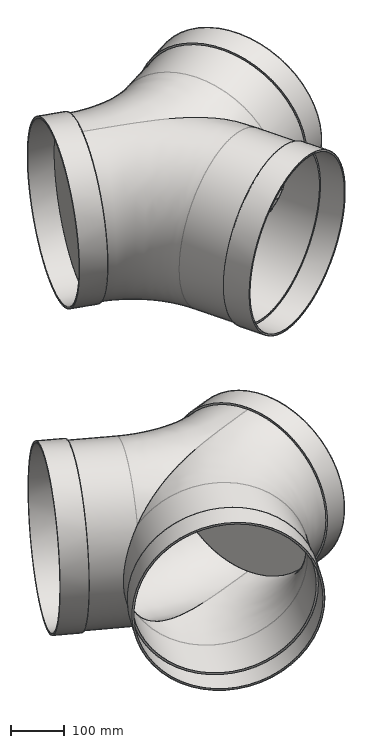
import cadquery as cq
import math

overall_width = 677.0
socket_outer_diameter = 363.0
pipe_outer_diameter = 355.0
pipe_inner_diameter = 347.0
socket_inner_diameter = pipe_outer_diameter
socket_length = 55.0
pipe_insertion = 4.0
bend_radius = 352.5
branch_angle = 45.0
cap_thickness = (pipe_outer_diameter - pipe_inner_diameter) / 2

angle = math.radians(branch_angle)
bend_end_x = bend_radius * (1 - math.cos(angle))
bend_end_y = socket_length + bend_radius * math.sin(angle)
rim_center_x = overall_width / 2 - socket_outer_diameter / 2 * math.cos(angle)
branch_length = (rim_center_x - bend_end_x) / math.sin(angle)
straight_length = branch_length - socket_length

inlet_plane = cq.Plane(origin=(0, socket_length, 0), xDir=(1, 0, 0), normal=(0, 1, 0))
branch_plane = cq.Plane(
    origin=(bend_end_x, bend_end_y, 0),
    xDir=(math.cos(angle), -math.sin(angle), 0),
    normal=(math.sin(angle), math.cos(angle), 0),
)


def cylinder(plane, diameter, start, length):
    return cq.Workplane(plane).workplane(offset=start).circle(diameter / 2).extrude(length)


def branch_core(diameter):
    """Solid inlet end, right-hand bend and straight branch, mitred at the YZ symmetry plane."""
    bend = cq.Workplane(
        obj=cq.Solid.revolve(
            cq.Wire.makeCircle(diameter / 2, cq.Vector(0, socket_length, 0), cq.Vector(0, 1, 0)),
            [],
            branch_angle,
            cq.Vector(bend_radius, socket_length, 0),
            cq.Vector(bend_radius, socket_length, -7),
        )
    )
    inlet_end = cylinder(inlet_plane, diameter, -pipe_insertion, pipe_insertion)
    straight = cylinder(branch_plane, diameter, 0, straight_length + pipe_insertion)
    core = bend.union(inlet_end).union(straight)
    right_half = cq.Workplane("XY").box(
        overall_width, 2 * overall_width, overall_width, centered=(False, True, True)
    )
    return core.intersect(right_half)


def forked_core(diameter):
    right = branch_core(diameter)
    return right.union(right.mirror("YZ"))


def socket(plane, start):
    outer = cylinder(plane, socket_outer_diameter, start, socket_length)
    return outer.cut(cylinder(plane, socket_inner_diameter, start, socket_length))


pipe = forked_core(pipe_outer_diameter).cut(forked_core(pipe_inner_diameter))

cap = cylinder(inlet_plane, pipe_outer_diameter, -pipe_insertion, cap_thickness)

inlet_socket = socket(inlet_plane, -socket_length)
branch_socket = socket(branch_plane, straight_length)

result = pipe.union(cap).union(inlet_socket)
result = result.union(branch_socket).union(branch_socket.mirror("YZ"))